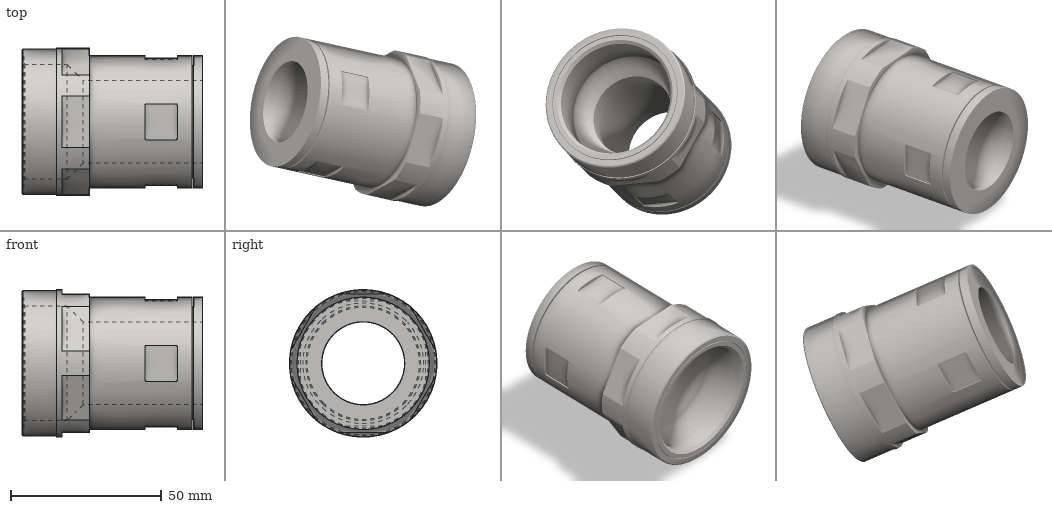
import cadquery as cq

length = 60.0
collar_end = 11.5
flat_start = 13.3
nut_end = 22.45
pocket_start = 40.9
pocket_end = 51.6
groove_start = 56.5
groove_end = 57.05

collar_diameter = 48.5
collar_chamfer = 0.4
nut_diameter = 49.0
nut_across_flats = 45.95
flat_count = 6
body_diameter = 44.0
groove_diameter = 37.3

pocket_count = 4
pocket_width = 12.0
pocket_floor_radius = 20.75
pocket_corner_radius = 0.5

cut_clearance = 0.6

socket_diameter = 38.15
socket_mouth_diameter = 40.15
socket_mouth_depth = 1.0
socket_depth = 15.0
throat_diameter = 27.5
throat_start = socket_depth + (socket_diameter - throat_diameter) / 2

face_groove_inner_diameter = 43.15
face_groove_outer_diameter = 43.55
face_groove_depth = 0.6


def cylinder(start, end, diameter):
    """Solid cylinder on the X axis."""
    return cq.Workplane("YZ", origin=(start, 0, 0)).circle(diameter / 2).extrude(end - start)


def ring(start, end, inner_diameter, outer_diameter):
    """Annular solid on the X axis."""
    return cylinder(start, end, outer_diameter).cut(cylinder(start, end, inner_diameter))


def block_above(start, end, width, floor):
    """Block whose underside lies at height floor, reaching past the outer surface."""
    height = nut_diameter / 2 - floor + cut_clearance
    return cq.Workplane("XY").box(end - start, width, height, centered=(False, True, False)).translate(
        (start, 0, floor)
    )


def make_outside():
    collar = cylinder(0, collar_end, collar_diameter).faces("<X").edges().chamfer(collar_chamfer)
    nut = cylinder(collar_end, nut_end, nut_diameter)
    body = cylinder(nut_end, length, body_diameter)
    return collar.union(nut).union(body)


def make_bore():
    profile = [
        (0, 0),
        (0, socket_mouth_diameter / 2),
        (socket_mouth_depth, socket_diameter / 2),
        (socket_depth, socket_diameter / 2),
        (throat_start, throat_diameter / 2),
        (length, throat_diameter / 2),
        (length, 0),
    ]
    return cq.Workplane("XY").polyline(profile).close().revolve(360, (0, 0, 0), (1, 0, 0))


def cut_around_axis(part, cutter, count):
    """Cut evenly spaced copies of the cutter around the X axis."""
    for index in range(count):
        part = part.cut(cutter.rotate((0, 0, 0), (1, 0, 0), index * 360 / count))
    return part


wrench_flat = block_above(flat_start, nut_end, nut_diameter, nut_across_flats / 2)
pocket = block_above(pocket_start, pocket_end, pocket_width, pocket_floor_radius)
pocket = pocket.edges("|Z").fillet(pocket_corner_radius)

result = make_outside()
result = cut_around_axis(result, wrench_flat, flat_count)
result = cut_around_axis(result, pocket, pocket_count)
result = result.cut(ring(groove_start, groove_end, groove_diameter, nut_diameter))
result = result.cut(ring(0, face_groove_depth, face_groove_inner_diameter, face_groove_outer_diameter))
result = result.cut(make_bore())